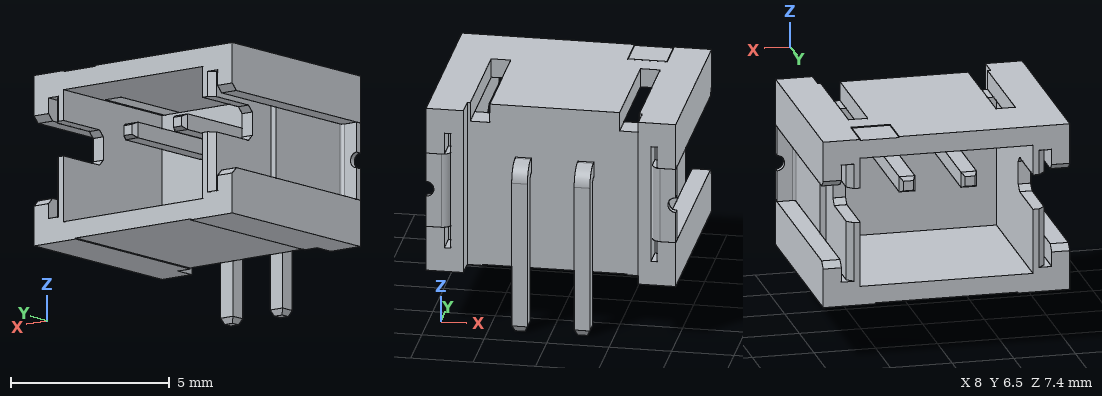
import cadquery as cq


width = 8.0
length = 6.5
height = 5.5
half_width = width / 2

recess_half_width = 2.8
recess_depth = 0.7

cavity_half_width = 2.8
cavity_start = 1.52
roof_thickness = 0.62

tab_thickness = 0.2

channel_bottom = 1.5
channel_top = 3.98
mouth_chamfer = 0.21

slot_inner_depth = 0.79
slot_outer_depth = slot_inner_depth - tab_thickness
slot_bottom = 0.81
slot_top = 4.7

opening_bottom = 2.75
opening_top = 3.89
opening_length = 2.01
opening_corner = 0.19

roof_slot_inner = 2.08
roof_slot_width = 0.62
roof_slot_end = 2.01

mark_depth = 0.03
top_mark_left = 1.54
top_mark_size = 1.26
bottom_mark_half_width = 2.31

pin_pitch = 2.0
pin_size = 0.5
pin_top = 3.76
pin_bottom = -1.9
pin_end = 5.5
pin_bend_radius = 0.61
pin_tip_length = 0.2
pin_tip_size = 0.32

tab_bend_radius = 0.3
tab_end = 3.55
tab_wide_start = recess_depth
notch_radius = 0.25
notch_height = 2.77

SIDES = (-1, 1)


def block(x_range, y_range, z_range):
    """Box spanning the given (low, high) ranges; X may be given in either order."""
    x_low, x_high = sorted(x_range)
    size = (x_high - x_low, y_range[1] - y_range[0], z_range[1] - z_range[0])
    return cq.Workplane("XY").box(*size, centered=False).translate((x_low, y_range[0], z_range[0]))


def side_x(side, depth):
    """X position at a depth measured inwards from the left (-1) or right (+1) face."""
    return side * (half_width - depth)


def channel_cutter(side):
    """Window through one side arm, flared at the mating face."""
    flare_start = length - mouth_chamfer
    outline = (
        cq.Workplane("YZ", origin=(side_x(side, 0), 0, 0))
        .moveTo(0, channel_bottom)
        .lineTo(flare_start, channel_bottom)
        .lineTo(length, channel_bottom - mouth_chamfer)
        .lineTo(length, channel_top + mouth_chamfer)
        .lineTo(flare_start, channel_top)
        .lineTo(0, channel_top)
        .close()
    )
    return outline.extrude(-side * slot_outer_depth)


def slot_cutter(side):
    """Slot behind one side arm, with the chamfer on the cavity wall at its mouth."""
    outer = side_x(side, slot_outer_depth)
    inner = side_x(side, slot_inner_depth)
    return (
        cq.Workplane("XY", origin=(0, 0, slot_bottom))
        .moveTo(outer, 0)
        .lineTo(inner, 0)
        .lineTo(inner, length - mouth_chamfer)
        .lineTo(inner - side * mouth_chamfer, length)
        .lineTo(outer, length)
        .close()
        .extrude(slot_top - slot_bottom)
    )


def opening_cutter():
    """Latch opening across the cavity walls, with chamfered blind corners."""
    wall_outer = half_width - slot_inner_depth
    return (
        block(
            (-wall_outer, wall_outer),
            (length - opening_length, length),
            (opening_bottom, opening_top),
        )
        .edges("|X and <Y")
        .chamfer(opening_corner)
    )


def roof_slot_cutter(side):
    """Slot that opens the roof into the cavity and notches the rear wall."""
    return block(
        (side * roof_slot_inner, side * (roof_slot_inner + roof_slot_width)),
        (recess_depth, length - roof_slot_end),
        (height - roof_thickness, height),
    )


def pin(x_center):
    """Right-angle square pin with tapered ends."""
    inner_radius = pin_bend_radius - pin_size
    bend_y = pin_bend_radius
    bend_z = pin_top - pin_bend_radius
    straight_end = pin_end - pin_tip_length
    leg_end = pin_bottom + pin_tip_length
    axis_z = pin_top - pin_size / 2
    axis_y = pin_size / 2

    body = (
        cq.Workplane("YZ", origin=(x_center, 0, 0))
        .moveTo(0, leg_end)
        .lineTo(0, bend_z)
        .radiusArc((bend_y, pin_top), pin_bend_radius)
        .lineTo(straight_end, pin_top)
        .lineTo(straight_end, pin_top - pin_size)
        .lineTo(bend_y, pin_top - pin_size)
        .radiusArc((pin_size, bend_z), -inner_radius)
        .lineTo(pin_size, leg_end)
        .close()
        .extrude(pin_size / 2, both=True)
    )
    mating_plane = cq.Plane((x_center, straight_end, axis_z), (1, 0, 0), (0, 1, 0))
    leg_plane = cq.Plane((x_center, axis_y, leg_end), (1, 0, 0), (0, 0, -1))
    for plane in (mating_plane, leg_plane):
        tip = (
            cq.Workplane(plane)
            .rect(pin_size, pin_size)
            .workplane(offset=pin_tip_length)
            .rect(pin_tip_size, pin_tip_size)
            .loft()
        )
        body = body.union(tip)
    return body


def make_housing():
    body = block((-half_width, half_width), (0, length), (0, height))
    body = body.cut(block((-recess_half_width, recess_half_width), (0, recess_depth), (0, height)))
    body = body.cut(
        block(
            (-cavity_half_width, cavity_half_width),
            (cavity_start, length),
            (roof_thickness, height - roof_thickness),
        )
    )
    for side in SIDES:
        body = body.cut(channel_cutter(side))
        body = body.cut(slot_cutter(side))
        body = body.cut(roof_slot_cutter(side))
    body = body.cut(opening_cutter())

    top_mark = block(
        (top_mark_left, top_mark_left + top_mark_size),
        (length - top_mark_size, length),
        (height - mark_depth, height),
    )
    bottom_mark = block(
        (-bottom_mark_half_width, bottom_mark_half_width), (0, length), (0, mark_depth)
    )
    body = body.cut(top_mark).cut(bottom_mark)

    for side in SIDES:
        body = body.union(pin(side * pin_pitch / 2))
    return body


def make_solder_tab(side):
    """L-shaped strip: a notched foot on the solder face and a wide tail in the slot."""
    inner = slot_inner_depth
    outer = slot_outer_depth
    bend_depth = inner - tab_bend_radius
    inside_radius = tab_bend_radius - tab_thickness

    tab = (
        cq.Workplane("XY", origin=(0, 0, channel_bottom))
        .moveTo(side_x(side, 0), 0)
        .lineTo(side_x(side, bend_depth), 0)
        .radiusArc((side_x(side, inner), tab_bend_radius), side * tab_bend_radius)
        .lineTo(side_x(side, inner), tab_end)
        .lineTo(side_x(side, outer), tab_end)
        .lineTo(side_x(side, outer), tab_bend_radius)
        .radiusArc((side_x(side, bend_depth), tab_thickness), -side * inside_radius)
        .lineTo(side_x(side, 0), tab_thickness)
        .close()
        .extrude(channel_top - channel_bottom)
    )
    tail = block(
        (side_x(side, outer), side_x(side, inner)),
        (tab_wide_start, tab_end),
        (slot_bottom, slot_top),
    )
    notch = (
        cq.Workplane("XZ", origin=(side_x(side, 0), 0, notch_height))
        .circle(notch_radius)
        .extrude(-tab_thickness)
    )
    return tab.union(tail).cut(notch)


housing = make_housing()
solder_tabs = [make_solder_tab(side) for side in SIDES]

result = cq.Compound.makeCompound([housing.solids().val(), *[tab.solids().val() for tab in solder_tabs]])